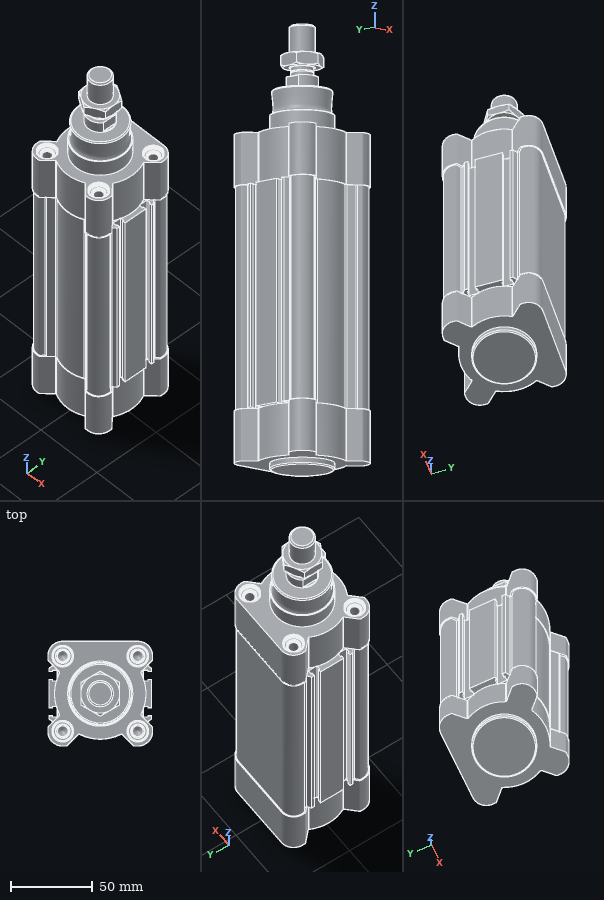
import cadquery as cq
import math

TOTAL_HEIGHT = 277.8
FOOT_HEIGHT = 4.2
CAP_HEIGHT = 32.8
CAP_TOP = 209.7
COLLAR_HEIGHT = 12.0
COLLAR_TOP = CAP_TOP + COLLAR_HEIGHT
BOOT_TOP = 237.2

CAP_SIZE = 64.5
BARREL_SIZE = 63.0
SCREW_OFFSET = 23.0
CAP_CORE_DIAMETER = 56.0
BARREL_CORE_DIAMETER = 55.5
LOBE_FILLET = 1.5
CAP_NOTCH_APEX = 11.7
BARREL_NOTCH_APEX = 11.5
SIDE_ANGLES = (0, 90, -90)
FLOOR_DEPTH = 25.0

LAND_DEPTH = 29.0
LOBE_EDGE = 21.0
LAND_EDGE = 19.0

PAD_WIDTH = 17.5
LIP_OUTER_EDGE = 15.5
SLOT_WIDTH = 4.7
SLOT_UNDERCUT = 0.8
LIP_THICKNESS = 2.2
SLOT_DEPTH = 5.0

SCREW_STEPS = ((13.3, 0.8), (12.0, 1.7), (11.5, 2.5), (9.0, 3.3), (8.0, 4.2), (6.7, 22.2))
DRILL_POINT_ANGLE = 118

FOOT_DIAMETER = 40.0
BOOT_DIAMETER = 37.8
BOOT_FOOT_DIAMETER = 38.5
EDGE_CHAMFER = 0.8
TOLERANCE = 0.0003

ROD_DIAMETER = 20.0
ROD_FLATS = 17.0
ROD_SHOULDER = 245.5
FLATS_BOTTOM = 238.0
THREAD_DIAMETER = 16.0
UNDERCUT_DIAMETER = 14.5
GROOVE_DIAMETER = 14.0
GROOVE_BOTTOM = 248.4
GROOVE_HEIGHT = 0.8
THREAD_CHAMFER = 1.0

NUT_SIDES = 6
NUT_FLATS = 24.0
NUT_HEIGHT = 8.0
NUT_BOTTOM = 251.7
NUT_CHAMFER_ANGLE = 30


def disc(diameter, bottom, top):
    """Upright cylinder on the axis."""
    return cq.Workplane("XY").workplane(offset=bottom).circle(diameter / 2).extrude(top - bottom)


def rounded_square(size, bottom, top):
    """Square block whose corners are rounded about the screw axes."""
    block = cq.Workplane("XY").workplane(offset=bottom).rect(size, size).extrude(top - bottom)
    return block.edges("|Z").fillet(size / 2 - SCREW_OFFSET)


def notched_block(size, core_diameter, wall_points, bottom, top):
    """Rounded square with a mirrored notch in each of three sides, and the round core put back.

    wall_points run down the notch's right wall on the -Y side, from the lobe to the bottom.
    """
    block = rounded_square(size, bottom, top)
    mirrored = [(-x, y) for x, y in reversed(wall_points)]
    notch = cq.Workplane("XY").workplane(offset=bottom).polyline(wall_points + mirrored).close()
    notch = notch.extrude(top - bottom)
    for angle in SIDE_ANGLES:
        block = block.cut(notch.rotate((0, 0, 0), (0, 0, 1), angle))

    def is_lobe_corner(edge):
        near, far = sorted((abs(edge.Center().x), abs(edge.Center().y)))
        on_side = math.isclose(far, size / 2, abs_tol=TOLERANCE)
        return on_side and math.isclose(near, wall_points[0][0], abs_tol=TOLERANCE)

    block = block.edges("|Z").filter(is_lobe_corner).fillet(LOBE_FILLET)
    return block.union(disc(core_diameter, bottom, top))


def on_notch_wall(depth, apex):
    """Point of a 45 degree notch wall on the -Y side at a given distance from the axis."""
    return (depth - apex, -depth)


def make_cap(bottom):
    """End cap: plain 45 degree notches between the lobes."""
    wall = [on_notch_wall(depth, CAP_NOTCH_APEX) for depth in (CAP_SIZE / 2, FLOOR_DEPTH)]
    return notched_block(CAP_SIZE, CAP_CORE_DIAMETER, wall, bottom, bottom + CAP_HEIGHT)


def slot_block(depth, width, height):
    """Block standing on the XY plane, used to cut one step of a T-slot."""
    return cq.Workplane("XY").box(depth, width, height, centered=(True, True, False))


def make_rail(bottom, top):
    """Sensor rail across both X sides: a middle pad and two lips with T-slots between them."""
    height = top - bottom
    half = BARREL_SIZE / 2
    outline = [(half, LIP_OUTER_EDGE)]
    for depth in (LAND_DEPTH, FLOOR_DEPTH):
        outline.append((depth, depth - BARREL_NOTCH_APEX))
    upper = outline + [(-x, y) for x, y in reversed(outline)]
    lower = [(-x, -y) for x, y in upper]
    rail = cq.Workplane("XY").workplane(offset=bottom).polyline(upper + lower).close().extrude(height)

    slot_y = (PAD_WIDTH + SLOT_WIDTH) / 2
    pocket_width = SLOT_WIDTH + 2 * SLOT_UNDERCUT
    pocket_depth = SLOT_DEPTH - LIP_THICKNESS
    mouth = slot_block(SLOT_DEPTH, SLOT_WIDTH, height)
    pocket = slot_block(pocket_depth, pocket_width, height)
    for x_sign in (-1, 1):
        for y_sign in (-1, 1):
            mouth_x = half - SLOT_DEPTH / 2
            pocket_x = half - SLOT_DEPTH + pocket_depth / 2
            rail = rail.cut(mouth.translate((x_sign * mouth_x, y_sign * slot_y, bottom)))
            rail = rail.cut(pocket.translate((x_sign * pocket_x, y_sign * slot_y, bottom)))
    return rail


def make_barrel(bottom, top):
    """Extruded barrel: stepped notches, with the sensor rail filling those on the X sides."""
    wall = [
        (LOBE_EDGE, -BARREL_SIZE / 2),
        (LAND_EDGE, -LAND_DEPTH),
        on_notch_wall(LAND_DEPTH, BARREL_NOTCH_APEX),
        on_notch_wall(FLOOR_DEPTH, BARREL_NOTCH_APEX),
    ]
    barrel = notched_block(BARREL_SIZE, BARREL_CORE_DIAMETER, wall, bottom, top)
    return barrel.union(make_rail(bottom, top))


def make_boot():
    """Boot around the rod: one surface that sweeps in above the collar and then runs upright."""
    rim = BOOT_DIAMETER / 2
    boot = (
        cq.Workplane("XZ")
        .moveTo(0, COLLAR_TOP)
        .lineTo(BOOT_FOOT_DIAMETER / 2, COLLAR_TOP)
        .spline([(rim, BOOT_TOP - EDGE_CHAMFER)], tangents=[(-1, 1), (0, 1)], includeCurrent=True)
        .lineTo(rim - EDGE_CHAMFER, BOOT_TOP)
        .lineTo(0, BOOT_TOP)
        .close()
    )
    return boot.revolve(360, (0, 0, 0), (0, 1, 0))


def make_screw_recess():
    """Stepped screw recess with a drilled cone at its bottom, cut down from the cap's top."""
    profile = [(0, 0)]
    level = 0
    for diameter, depth in SCREW_STEPS:
        profile += [(diameter / 2, -level), (diameter / 2, -depth)]
        level = depth
    tip = SCREW_STEPS[-1][0] / 2 / math.tan(math.radians(DRILL_POINT_ANGLE / 2))
    profile.append((0, -level - tip))
    return cq.Workplane("XZ").polyline(profile).close().revolve(360, (0, 0, 0), (0, 1, 0))


def make_housing():
    """Barrel between two caps, with the foot, the collar and the boot, bored for the rod."""
    barrel_bottom = FOOT_HEIGHT + CAP_HEIGHT
    barrel_top = CAP_TOP - CAP_HEIGHT
    body = make_barrel(barrel_bottom, barrel_top)
    body = body.union(make_cap(FOOT_HEIGHT)).union(make_cap(barrel_top))
    body = body.union(disc(FOOT_DIAMETER, 0, FOOT_HEIGHT).faces("<Z").chamfer(EDGE_CHAMFER))
    body = body.union(disc(FOOT_DIAMETER, CAP_TOP, COLLAR_TOP))
    body = body.union(make_boot())
    for x in (-SCREW_OFFSET, SCREW_OFFSET):
        for y in (-SCREW_OFFSET, SCREW_OFFSET):
            body = body.cut(make_screw_recess().translate((x, y, CAP_TOP)))
    return body.cut(disc(ROD_DIAMETER, barrel_top, BOOT_TOP))


def make_rod():
    """Piston rod: wrench flats, a grooved neck and a plain cylinder for the thread."""
    rod = disc(ROD_DIAMETER, CAP_TOP - CAP_HEIGHT, ROD_SHOULDER)
    flats = cq.Workplane("XY").workplane(offset=FLATS_BOTTOM)
    flats = flats.rect(ROD_DIAMETER * 2, ROD_DIAMETER * 2).rect(ROD_FLATS, ROD_DIAMETER * 2)
    rod = rod.cut(flats.extrude(ROD_SHOULDER - FLATS_BOTTOM))
    groove_top = GROOVE_BOTTOM + GROOVE_HEIGHT
    rod = rod.union(disc(UNDERCUT_DIAMETER, ROD_SHOULDER, GROOVE_BOTTOM))
    rod = rod.union(disc(GROOVE_DIAMETER, GROOVE_BOTTOM, groove_top))
    rod = rod.union(disc(UNDERCUT_DIAMETER, groove_top, NUT_BOTTOM))
    return rod.union(disc(THREAD_DIAMETER, NUT_BOTTOM, TOTAL_HEIGHT).faces(">Z").chamfer(THREAD_CHAMFER))


def make_nut():
    """Hexagon nut with two flats facing X; its corners are chamfered at both ends."""
    half_side_angle = math.pi / NUT_SIDES
    corner_diameter = NUT_FLATS / math.cos(half_side_angle)
    nut = cq.Workplane("XY").polygon(NUT_SIDES, corner_diameter).extrude(NUT_HEIGHT)
    nut = nut.rotate((0, 0, 0), (0, 0, 1), math.degrees(half_side_angle))
    width = (corner_diameter - NUT_FLATS) / 2
    drop = width * math.tan(math.radians(NUT_CHAMFER_ANGLE))
    envelope = disc(corner_diameter, 0, NUT_HEIGHT).faces("<Z or >Z").chamfer(drop, width)
    nut = nut.intersect(envelope).cut(disc(THREAD_DIAMETER, 0, NUT_HEIGHT))
    return nut.translate((0, 0, NUT_BOTTOM))


housing = make_housing()
rod = make_rod()
nut = make_nut()

result = cq.Compound.makeCompound([housing.solids().val(), rod.solids().val(), nut.solids().val()])